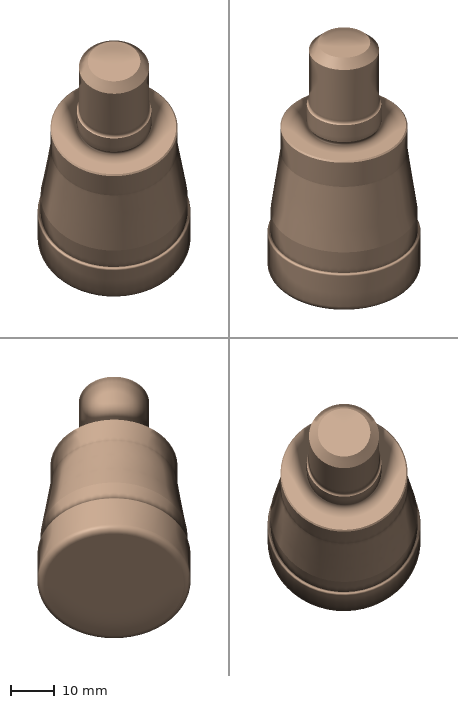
import cadquery as cq
import math

total_height = 63.0
cap_diameter = 34.9

cap_height = 10.5
cap_bottom_fillet = 1.5
cap_top_fillet = 0.4

body_lower_radius = 16.75
body_upper_radius = 14.5
taper_bottom_z = 16.25
taper_top_z = 32.95
body_top_z = 40.0
body_top_chamfer = 0.3

neck_radius = 7.9
neck_root_fillet = 0.4
neck_top_fillet = 0.3

collar_radius = 8.5
collar_bottom_z = 41.2
stud_radius = 8.0
stud_fillet = 0.8
stud_fillet_top_z = 46.7
stud_chamfer = 2.0


def make_cap():
    """Solid disc with a large rounding below and a small one above."""
    cap = cq.Workplane("XY").circle(cap_diameter / 2).extrude(cap_height)
    cap = cap.faces("<Z").edges().fillet(cap_bottom_fillet)
    return cap.faces(">Z").edges().fillet(cap_top_fillet)


def arc_point(center_r, center_z, radius, angle):
    """Point (r, z) on an arc, with the angle in radians from the outward direction."""
    return (center_r + radius * math.cos(angle), center_z + radius * math.sin(angle))


def make_stud_body():
    """Tapered body, neck, collar and stud, turned as one piece."""
    root_center = (neck_radius + neck_root_fillet, body_top_z + neck_root_fillet)
    root_middle = arc_point(*root_center, neck_root_fillet, math.radians(225))

    shoulder_radius = neck_radius + neck_top_fillet
    shoulder_z = collar_bottom_z - (collar_radius - shoulder_radius)
    neck_top_z = shoulder_z - neck_top_fillet
    shoulder_middle = arc_point(shoulder_radius, neck_top_z, neck_top_fillet, math.radians(135))

    fillet_angle = math.acos(1 - (collar_radius - stud_radius) / stud_fillet)
    fillet_center = (stud_radius + stud_fillet, stud_fillet_top_z)
    fillet_middle = arc_point(*fillet_center, stud_fillet, math.pi + fillet_angle / 2)
    fillet_end = arc_point(*fillet_center, stud_fillet, math.pi + fillet_angle)

    profile = (
        cq.Workplane("XZ")
        .moveTo(0, cap_height)
        .lineTo(body_lower_radius, cap_height)
        .lineTo(body_lower_radius, taper_bottom_z)
        .lineTo(body_upper_radius, taper_top_z)
        .lineTo(body_upper_radius, body_top_z - body_top_chamfer)
        .lineTo(body_upper_radius - body_top_chamfer, body_top_z)
        .lineTo(root_center[0], body_top_z)
        .threePointArc(root_middle, (neck_radius, root_center[1]))
        .lineTo(neck_radius, neck_top_z)
        .threePointArc(shoulder_middle, (shoulder_radius, shoulder_z))
        .lineTo(collar_radius, collar_bottom_z)
        .lineTo(*fillet_end)
        .threePointArc(fillet_middle, (stud_radius, stud_fillet_top_z))
        .lineTo(stud_radius, total_height - stud_chamfer)
        .lineTo(stud_radius - stud_chamfer, total_height)
        .lineTo(0, total_height)
        .close()
    )
    return profile.revolve(360, (0, 0), (0, 1))


cap = make_cap()
stud_body = make_stud_body()
result = cq.Compound.makeCompound([cap.val(), stud_body.val()])